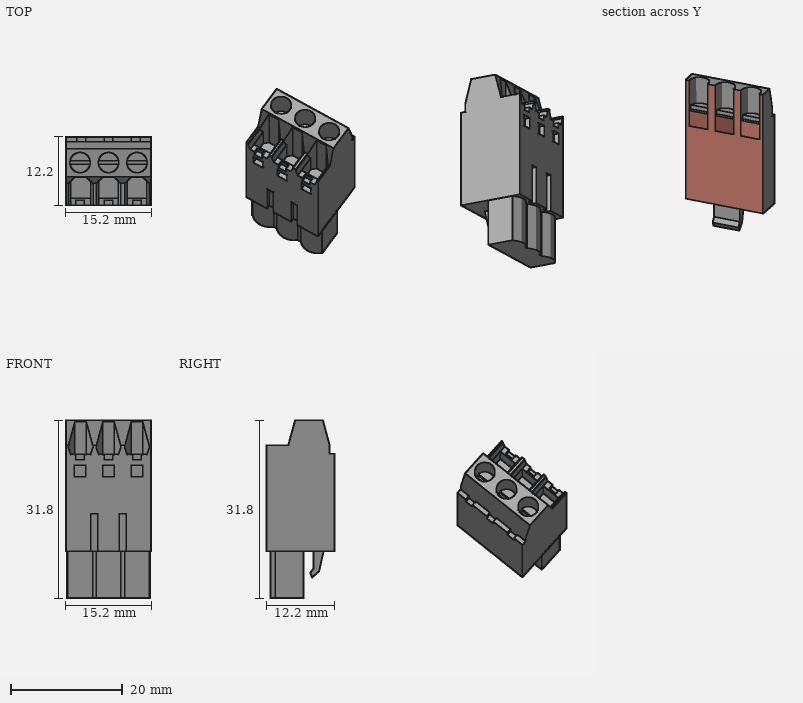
import cadquery as cq


POLE_COUNT = 3
POLE_PITCH = 5.1
POLE_XS = [(i - (POLE_COUNT - 1) / 2) * POLE_PITCH for i in range(POLE_COUNT)]
GAP_XS = [(left + right) / 2 for left, right in zip(POLE_XS, POLE_XS[1:])]

WIDTH = 15.23
DEPTH = 12.2
HEIGHT = 31.8
BODY_BOTTOM_Z = 8.33
SHOULDER_Z = 27.35
BACK_STEP_Z = 25.82
BACK_STEP_DEPTH = 0.9
BACK_WALL_Y = DEPTH - BACK_STEP_DEPTH
SHOULDER_Y = 3.9
TOP_FRONT_Y = 5.12
TOP_BACK_Y = 10.1

PLUG_WIDTH = 14.88
PLUG_BACK_Y = 6.65
PLUG_WEB_Y = 1.62
LOBE_FRONT_Y = 0.7
LOBE_WIDTH = 4.45

LATCH_WIDTH = POLE_PITCH
LATCH_ROOT_BACK_Y = 10.25
LATCH_FRONT_Y = 8.4
LATCH_NECK_Z = 5.35
LATCH_NOSE_Y = 7.82
LATCH_NOSE_Z = 4.45
LATCH_TIP_Y = 8.17
LATCH_TIP_Z = 3.65
LATCH_HEEL_Y = 9.45
LATCH_HEEL_Z = 4.8

LEFT_POCKET_SHIFT = 0.1
POCKET_XS = [POLE_XS[0] + LEFT_POCKET_SHIFT, *POLE_XS[1:]]
POCKET_TOP_Z = 31.48
POCKET_BACK_Y = TOP_FRONT_Y - 0.05
POCKET_BACK_WIDTH = 2.0
POCKET_MOUTH_WIDTH = 4.45
POCKET_THROAT_WIDTH = 3.55
POCKET_LIP_Z = 26.97
POCKET_LEDGE_Z = 25.7
POCKET_FLOOR_Z = 21.7
FRONT_WALL = 1.25
FLARE_LENGTH = (POCKET_MOUTH_WIDTH - POCKET_BACK_WIDTH) / 2

NOTCH_WIDTH = 1.55
NOTCH_DEPTH = 0.92
NOTCH_FLOOR_Z = 24.75
REAR_NOTCH_PITCH = 4.85
WINDOW_SIZE = 2.05
WINDOW_BOTTOM_Z = 21.72
WINDOW_DEPTH = 1.0
SLOT_WIDTH = 1.27
SLOT_DEPTH = 0.75
SLOT_TOP_Z = 15.1

SCREW_DIAMETER = 3.63
SCREW_Y = 7.63
SCREW_TOP_Z = 26.7
SCREW_LENGTH = 3.82
SCREW_BOTTOM_Z = SCREW_TOP_Z - SCREW_LENGTH
SCREW_SLOT_WIDTH = 0.65
SCREW_SLOT_DEPTH = 0.8


def box(x_center, width, y_range, z_range):
    """Box centred on x_center that spans the given y and z ranges."""
    y_min, y_max = y_range
    z_min, z_max = z_range
    return (
        cq.Workplane("XY")
        .box(width, y_max - y_min, z_max - z_min, centered=(True, False, False))
        .translate((x_center, y_min, z_min))
    )


def side_profile(points, width):
    """Extrude a (y, z) outline along x, symmetric about x = 0."""
    return cq.Workplane("YZ").polyline(points).close().extrude(width / 2, both=True)


def make_block():
    return side_profile(
        [
            (0, BODY_BOTTOM_Z),
            (DEPTH, BODY_BOTTOM_Z),
            (DEPTH, BACK_STEP_Z),
            (BACK_WALL_Y, BACK_STEP_Z),
            (BACK_WALL_Y, SHOULDER_Z),
            (TOP_BACK_Y, HEIGHT),
            (TOP_FRONT_Y, HEIGHT),
            (SHOULDER_Y, SHOULDER_Z),
            (0, SHOULDER_Z),
        ],
        WIDTH,
    )


def make_plug():
    """Plug with one bulging lobe in front of each pole."""
    outline = cq.Workplane("XY").moveTo(-PLUG_WIDTH / 2, PLUG_BACK_Y).lineTo(-PLUG_WIDTH / 2, PLUG_WEB_Y)
    for x in POLE_XS:
        outline = outline.lineTo(x - LOBE_WIDTH / 2, PLUG_WEB_Y)
        outline = outline.threePointArc((x, LOBE_FRONT_Y), (x + LOBE_WIDTH / 2, PLUG_WEB_Y))
    outline = outline.lineTo(PLUG_WIDTH / 2, PLUG_WEB_Y).lineTo(PLUG_WIDTH / 2, PLUG_BACK_Y)
    return outline.close().extrude(BODY_BOTTOM_Z)


def make_latch():
    return side_profile(
        [
            (LATCH_ROOT_BACK_Y, BODY_BOTTOM_Z),
            (LATCH_FRONT_Y, BODY_BOTTOM_Z),
            (LATCH_FRONT_Y, LATCH_NECK_Z),
            (LATCH_NOSE_Y, LATCH_NOSE_Z),
            (LATCH_TIP_Y, LATCH_TIP_Z),
            (LATCH_HEEL_Y, LATCH_HEEL_Z),
        ],
        LATCH_WIDTH,
    )


def make_wire_pocket(x):
    """Cutter for one wire entry: flared plan, tapered side walls, deep behind the front wall."""
    half_back = POCKET_BACK_WIDTH / 2
    half_mouth = POCKET_MOUTH_WIDTH / 2
    half_throat = POCKET_THROAT_WIDTH / 2
    flare_y = POCKET_BACK_Y - FLARE_LENGTH
    plan = (
        cq.Workplane("XY")
        .workplane(offset=POCKET_FLOOR_Z)
        .polyline(
            [
                (-half_mouth, 0),
                (half_mouth, 0),
                (half_mouth, flare_y),
                (half_back, POCKET_BACK_Y),
                (-half_back, POCKET_BACK_Y),
                (-half_mouth, flare_y),
            ]
        )
        .close()
        .extrude(POCKET_TOP_Z - POCKET_FLOOR_Z)
    )
    section = (
        cq.Workplane("XZ")
        .polyline(
            [
                (-half_throat, POCKET_FLOOR_Z),
                (half_throat, POCKET_FLOOR_Z),
                (half_throat, POCKET_LEDGE_Z),
                (half_mouth, POCKET_LIP_Z),
                (half_mouth, POCKET_TOP_Z),
                (-half_mouth, POCKET_TOP_Z),
                (-half_mouth, POCKET_LIP_Z),
                (-half_throat, POCKET_LEDGE_Z),
            ]
        )
        .close()
        .extrude(-POCKET_BACK_Y)
    )
    front_wall = box(0, POCKET_THROAT_WIDTH, (0, FRONT_WALL), (POCKET_FLOOR_Z, POCKET_LEDGE_Z))
    return plan.intersect(section).cut(front_wall).translate((x, 0, 0))


def make_housing():
    housing = make_block().union(make_plug()).union(make_latch())

    for pocket_x in POCKET_XS:
        housing = housing.cut(make_wire_pocket(pocket_x))
    for x in POLE_XS:
        housing = housing.cut(box(x, NOTCH_WIDTH, (0, NOTCH_DEPTH), (NOTCH_FLOOR_Z, POCKET_LEDGE_Z)))
        window_z = (WINDOW_BOTTOM_Z, WINDOW_BOTTOM_Z + WINDOW_SIZE)
        housing = housing.cut(box(x, WINDOW_SIZE, (0, WINDOW_DEPTH), window_z))

    for i in range(POLE_COUNT):
        x = (i - (POLE_COUNT - 1) / 2) * REAR_NOTCH_PITCH
        housing = housing.cut(box(x, NOTCH_WIDTH, (BACK_WALL_Y, DEPTH), (NOTCH_FLOOR_Z, BACK_STEP_Z)))

    for x in GAP_XS:
        housing = housing.cut(box(x, SLOT_WIDTH, (0, SLOT_DEPTH), (BODY_BOTTOM_Z, SLOT_TOP_Z)))

    bores = (
        cq.Workplane("XY")
        .workplane(offset=SCREW_BOTTOM_Z)
        .pushPoints([(x, SCREW_Y) for x in POLE_XS])
        .circle(SCREW_DIAMETER / 2)
        .extrude(HEIGHT - SCREW_BOTTOM_Z)
    )
    return housing.cut(bores)


def make_screw(x):
    """Cylindrical screw with a driver slot along x."""
    screw = cq.Workplane("XY").circle(SCREW_DIAMETER / 2).extrude(SCREW_LENGTH)
    slot_y = (-SCREW_SLOT_WIDTH / 2, SCREW_SLOT_WIDTH / 2)
    slot = box(0, SCREW_DIAMETER, slot_y, (SCREW_LENGTH - SCREW_SLOT_DEPTH, SCREW_LENGTH))
    return screw.cut(slot).translate((x, SCREW_Y, SCREW_BOTTOM_Z))


housing = make_housing()
screws = [make_screw(x) for x in POLE_XS]

result = cq.Compound.makeCompound([housing.val(), *[screw.val() for screw in screws]])